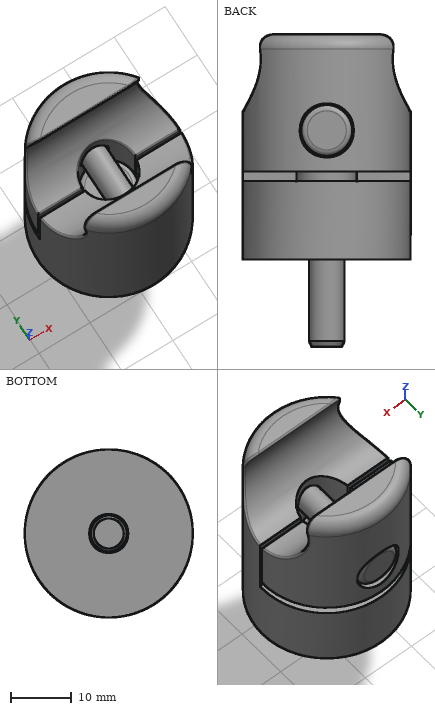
import cadquery as cq

body_diameter = 28.0
body_bottom = 14.5
body_top = 52.0
crown_radius = 2.5

channel_diameter = 17.3
channel_y = -0.4
channel_z = 47.85
channel_edge_radius = 0.3

base_wall_y = -0.7
jaw_wall_y = -0.1
ledge_z = 27.55
jaw_bottom = 29.1

bolt_diameter = 6.0
bolt_seat_z = 25.0
bolt_tip_diameter = 5.0
bolt_tip_length = 1.0
bolt_head_diameter = 10.0
bolt_head_height = 6.0
bolt_head_radius = 1.0
bolt_clearance_diameter = 6.5
bolt_bore_diameter = 10.2

screw_diameter = 5.0
screw_z = 36.0
screw_tip_y = -11.45
screw_head_diameter = 8.5
screw_head_height = 5.0
screw_head_radius = 1.0
screw_head_face_y = 13.55
screw_clearance_diameter = 5.5
screw_bore_diameter = 9.0

screw_seat_y = screw_head_face_y - screw_head_height
reach = body_diameter / 2 + 0.5


def rod_z(diameter, z_start, z_end):
    """Cylinder on the body axis."""
    return cq.Workplane("XY").workplane(offset=z_start).circle(diameter / 2).extrude(z_end - z_start)


def rod_y(diameter, y_start, y_end):
    """Cylinder on the clamp screw axis, from y_start toward +Y."""
    sketch = cq.Workplane("XZ", origin=(0, y_start, screw_z)).circle(diameter / 2)
    return sketch.extrude(y_start - y_end)


def behind(wall_y, floor_z):
    """Block filling the space behind a wall (+Y) and above a floor."""
    depth = reach - wall_y
    height = body_top - floor_z
    block = cq.Workplane("XY").box(2 * reach, depth, height, centered=(True, False, False))
    return block.translate((0, wall_y, floor_z))


def channelled_body():
    """Full round body with a rounded crown and the open bar channel."""
    body = rod_z(body_diameter, body_bottom, body_top).faces(">Z").edges().fillet(crown_radius)
    channel = (
        cq.Workplane("YZ", origin=(0, channel_y, channel_z))
        .circle(channel_diameter / 2)
        .extrude(reach, both=True)
    )
    return body.cut(channel)


def round_channel_edges(body):
    """Round every edge around the channel surface."""
    channel_bottom = channel_z - channel_diameter / 2
    channel_faces = [
        face
        for face in body.faces("%CYLINDER").vals()
        if face.BoundingBox().zmin > channel_bottom - channel_edge_radius
    ]
    edges = body.newObject(channel_faces).edges()
    return edges.fillet(channel_edge_radius)


def make_base():
    base = round_channel_edges(channelled_body())
    base = base.cut(behind(base_wall_y, ledge_z))
    base = base.cut(rod_z(bolt_bore_diameter, bolt_seat_z, body_top))
    base = base.cut(rod_z(bolt_clearance_diameter, body_bottom, bolt_seat_z))
    return base.cut(rod_y(screw_diameter, screw_tip_y, reach))


def make_jaw():
    jaw = channelled_body().intersect(behind(jaw_wall_y, jaw_bottom))
    jaw = jaw.cut(rod_z(bolt_bore_diameter, jaw_bottom, body_top))
    jaw = round_channel_edges(jaw)
    jaw = jaw.cut(rod_y(screw_clearance_diameter, jaw_wall_y, reach))
    return jaw.cut(rod_y(screw_bore_diameter, screw_seat_y, reach))


def make_bolt():
    head = rod_z(bolt_head_diameter, bolt_seat_z, bolt_seat_z + bolt_head_height)
    head = head.faces(">Z").edges().fillet(bolt_head_radius)
    tip_inset = (bolt_diameter - bolt_tip_diameter) / 2
    shank = rod_z(bolt_diameter, 0, bolt_seat_z)
    shank = shank.faces("<Z").edges().chamfer(bolt_tip_length, tip_inset)
    return head.union(shank)


def make_screw():
    shank = rod_y(screw_diameter, screw_tip_y, screw_seat_y)
    head = rod_y(screw_head_diameter, screw_seat_y, screw_head_face_y)
    head = head.faces(">Y").edges().fillet(screw_head_radius)
    return head.union(shank)


base = make_base()
jaw = make_jaw()
bolt = make_bolt()
screw = make_screw()

result = cq.Compound.makeCompound([base.val(), jaw.val(), bolt.val(), screw.val()])